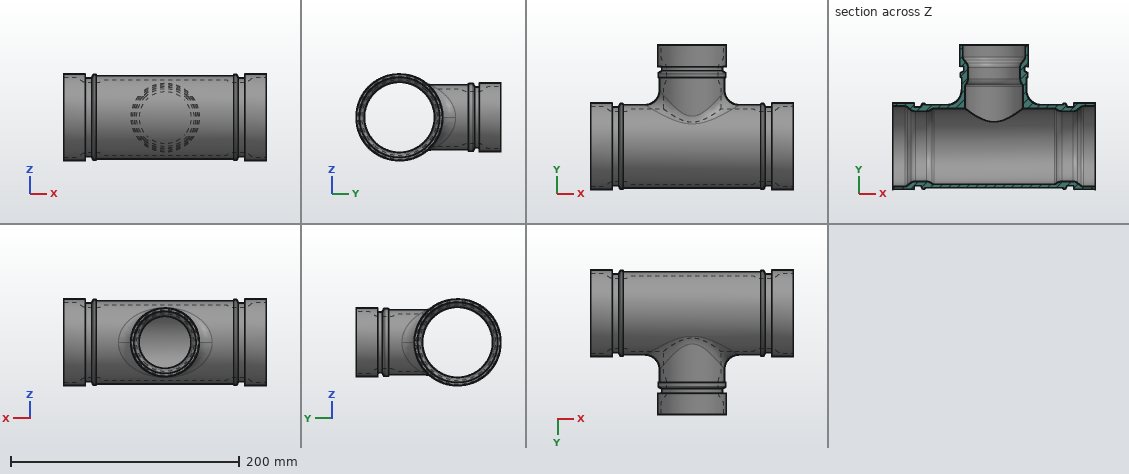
import cadquery as cq
import math

run_length = 177.8
run_half = run_length / 2
branch_reach = 88.9

run_collar_dia = 76.1
branch_collar_dia = 60.3
run_body_dia = 73.0

groove_reduction = 6.8
bead_reduction = 0.7
body_reduction = run_collar_dia - run_body_dia
mouth_reduction = 5.7
throat_reduction = 14.8
body_bore_reduction = 9.8

collar_length = 19.0
run_groove_end = 24.5
branch_groove_end = 22.8
bead_end = 28.6

collar_round = 0.5
bead_round = 1.0
bead_cone_angle = math.radians(60)

throat_start = 10.5
throat_end = 29.5

bore_cone_angle = math.radians(39)
mouth_bend = 4.0
throat_front_bend = 6.2
throat_back_bend = 7.5
body_bend = 2.7

root_fillet = 12.5


def arc_run(bend):
    """Length along the axis of a bend that turns into the bore cone."""
    return bend * math.sin(bore_cone_angle)


def arc_drop(bend):
    """Change of radius over a bend that turns into the bore cone."""
    return bend * (1 - math.cos(bore_cone_angle))


def s_bend(profile, start, radius_from, radius_to, first_bend, second_bend):
    """Ease the bore from one radius to another with an arc, a cone and an arc."""
    side = math.copysign(1, radius_to - radius_from)
    cone_radius_from = radius_from + side * arc_drop(first_bend)
    cone_radius_to = radius_to - side * arc_drop(second_bend)
    cone_start = start + arc_run(first_bend)
    cone_end = cone_start + abs(cone_radius_to - cone_radius_from) / math.tan(bore_cone_angle)
    return (
        profile.lineTo(start, radius_from)
        .tangentArcPoint((cone_start, cone_radius_from), relative=False)
        .lineTo(cone_end, cone_radius_to)
        .tangentArcPoint((cone_end + arc_run(second_bend), radius_to), relative=False)
    )


def pipe_outside(length, collar_dia, groove_end):
    """Solid bar from X = 0 with a collar, a groove and a bead."""
    collar_radius = collar_dia / 2
    groove_radius = (collar_dia - groove_reduction) / 2
    bead_radius = (collar_dia - bead_reduction) / 2
    body_radius = (collar_dia - body_reduction) / 2

    cone_top = bead_radius - bead_round * (1 - math.cos(bead_cone_angle))
    cone_end = groove_end + (cone_top - groove_radius) / math.tan(bead_cone_angle)
    bead_start = cone_end + bead_round * math.sin(bead_cone_angle)

    outline = (
        cq.Workplane("XY")
        .lineTo(0, collar_radius)
        .lineTo(collar_length - collar_round, collar_radius)
        .tangentArcPoint((collar_length, collar_radius - collar_round), relative=False)
        .lineTo(collar_length, groove_radius + collar_round)
        .tangentArcPoint((collar_length + collar_round, groove_radius), relative=False)
        .lineTo(groove_end, groove_radius)
        .lineTo(cone_end, cone_top)
        .tangentArcPoint((bead_start, bead_radius), relative=False)
        .lineTo(bead_end - bead_round, bead_radius)
        .tangentArcPoint((bead_end, bead_radius - bead_round), relative=False)
        .lineTo(bead_end, body_radius)
        .lineTo(length, body_radius)
        .lineTo(length, 0)
        .close()
    )
    return outline.revolve(360, (0, 0, 0), (1, 0, 0))


def pipe_bore(length, collar_dia):
    """Mouth, narrower throat and body bore, starting at X = 0."""
    mouth_radius = (collar_dia - mouth_reduction) / 2
    throat_radius = (collar_dia - throat_reduction) / 2
    body_radius = (collar_dia - body_bore_reduction) / 2
    profile = cq.Workplane("XY").lineTo(0, mouth_radius)
    profile = s_bend(profile, throat_start, mouth_radius, throat_radius, mouth_bend, throat_front_bend)
    profile = s_bend(profile, throat_end, throat_radius, body_radius, throat_back_bend, body_bend)
    outline = profile.lineTo(length, body_radius).lineTo(length, 0).close()
    return outline.revolve(360, (0, 0, 0), (1, 0, 0))


def place_run(half):
    """Move a half pipe to the -X end and mirror it to the +X end."""
    left = half.translate((-run_half, 0, 0))
    return left.union(left.mirror("YZ"))


def place_branch(pipe):
    """Turn a pipe so that its open end faces +Y at the branch end."""
    return pipe.rotate((0, 0, 0), (0, 0, 1), -90).translate((0, branch_reach, 0))


run_outside = place_run(pipe_outside(run_half, run_collar_dia, run_groove_end))
branch_outside = place_branch(pipe_outside(branch_reach, branch_collar_dia, branch_groove_end))
root_zone = cq.selectors.BoxSelector(
    (-branch_collar_dia / 2, 0, -run_collar_dia / 2),
    (branch_collar_dia / 2, run_collar_dia / 2, run_collar_dia / 2),
    boundingbox=True,
)
outside = run_outside.union(branch_outside).edges(root_zone).fillet(root_fillet)

run_bore = place_run(pipe_bore(run_half, run_collar_dia))
branch_bore = place_branch(pipe_bore(branch_reach, branch_collar_dia))

result = outside.cut(run_bore).cut(branch_bore)